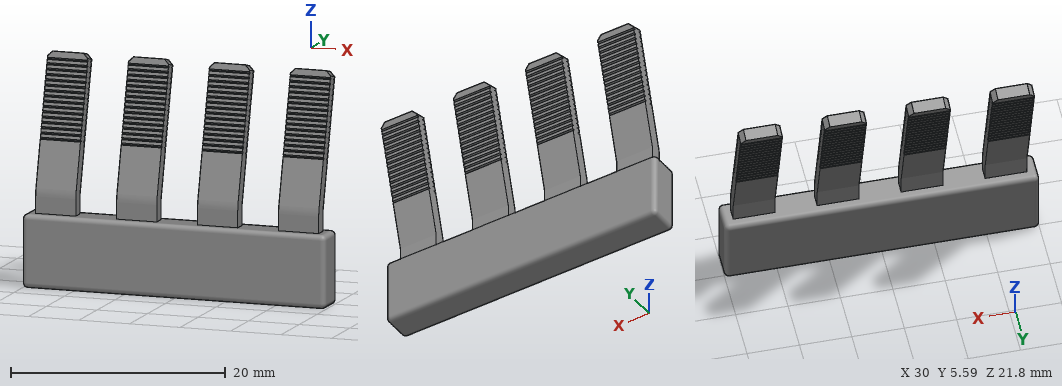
import cadquery as cq
import math

body_length = 30.0
body_depth = 3.2
body_height = 7.0
body_fillet = 0.48

total_height = 21.8
finger_count = 4
finger_pitch = 8.0
finger_width = 4.0
finger_thickness = 1.2
finger_front = (body_depth - finger_thickness) / 2
bend_height = 1.98
bend_angle = 15.0
bend_radius = 3.0
tip_chamfer = 0.48

groove_count = 16
groove_zone = 7.98
groove_pitch = groove_zone / groove_count
groove_width = 0.2
groove_depth = 0.2

lean = math.radians(bend_angle)
bend_z = body_height + bend_height
blade_length = (total_height - bend_z) / math.cos(lean)
mitre_drop = finger_thickness * math.tan(lean / 2)

blade_plane = cq.Plane(
    origin=(0, finger_front, bend_z),
    xDir=(0, math.cos(lean), -math.sin(lean)),
    normal=(1, 0, 0),
)


def make_body():
    block = cq.Workplane("XY").box(body_length, body_depth, body_height)
    return block.edges().fillet(body_fillet).translate((0, body_depth / 2, body_height / 2))


def make_stem():
    """Upright lower part of a finger, mitred at the bend."""
    finger_back = finger_front + finger_thickness
    return (
        cq.Workplane("YZ")
        .moveTo(finger_front, body_height / 2)
        .lineTo(finger_back, body_height / 2)
        .lineTo(finger_back, bend_z - mitre_drop)
        .lineTo(finger_front, bend_z)
        .close()
        .extrude(finger_width / 2, both=True)
    )


def make_blade():
    """Leaning upper part of a finger with chamfered tip corners."""
    blade = (
        cq.Workplane(blade_plane)
        .lineTo(finger_thickness, -mitre_drop)
        .lineTo(finger_thickness, blade_length)
        .lineTo(0, blade_length)
        .close()
        .extrude(finger_width / 2, both=True)
    )
    tip_corner = cq.selectors.ParallelDirSelector(blade_plane.xDir)
    return blade.edges(tip_corner).chamfer(tip_chamfer)


def make_groove(face, inward, centre):
    """V-shaped cutter at one blade face; inward is +1 or -1 along the thickness."""
    return (
        cq.Workplane(blade_plane)
        .moveTo(face, centre - groove_width / 2)
        .lineTo(face + inward * groove_depth, centre)
        .lineTo(face, centre + groove_width / 2)
        .close()
        .extrude(finger_width, both=True)
    )


def make_finger():
    finger = make_stem().union(make_blade())
    bend_edge = cq.selectors.NearestToPointSelector((0, finger_front, bend_z))
    finger = finger.edges("|X").edges(bend_edge).fillet(bend_radius)

    for index in range(groove_count):
        centre = blade_length - tip_chamfer - (index + 0.5) * groove_pitch
        finger = finger.cut(make_groove(0, 1, centre))
        finger = finger.cut(make_groove(finger_thickness, -1, centre))
    return finger


result = make_body()
finger = make_finger()
for index in range(finger_count):
    finger_x = (index - (finger_count - 1) / 2) * finger_pitch
    result = result.union(finger.translate((finger_x, 0, 0)))